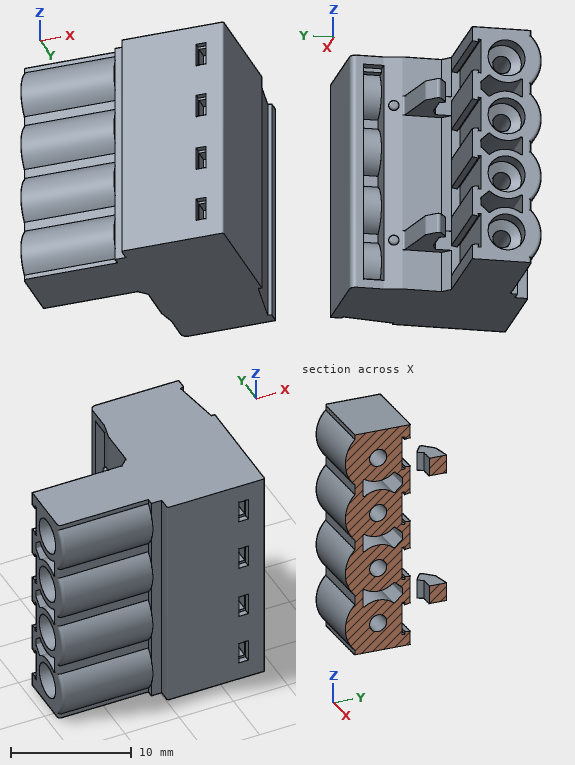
import cadquery as cq
import math


LENGTH = 18.2
WIDTH = 15.0
HEIGHT = 20.32
POLES = 4
PITCH = HEIGHT / POLES
CENTRE_Z = HEIGHT / 2
POLE_Z = [PITCH * (i + 0.5) for i in range(POLES)]

PLUG_LENGTH = 8.27
PLUG_TOP_Y = 6.7
WEB_Y = 1.69
SLEEVE_Y = 3.8
SLEEVE_RADIUS = 2.99
PLUG_EDGE_RADIUS = 0.26

BORE_RADIUS = 1.56
BORE_DEPTH = 1.46
CONTACT_RADIUS = 0.75
FUNNEL_DEPTH = 0.47

POCKET_LOW_Y = 2.44
POCKET_SHOULDER_Y = 5.26
POCKET_ARC_RADIUS = 2.15
POCKET_TIP_WIDTH = 0.6
POCKET_CORNER_RADIUS = 0.1

SLOT_FLOOR_Y = 5.97
SLOT_LIP_Y = 6.2
SLOT_WIDTH = 2.93
SLOT_LIP_WIDTH = 2.44
SLOT_MOUTH_WIDTH = 2.6

NECK_Y = 1.1
BODY_X = 9.23
WALL_X = 8.96
WALL_CHAMFER = WALL_X - PLUG_LENGTH
WALL_TOP_Y = 10.69
SLOPE_TOP_Y = 12.21
UPPER_X = 9.3
RIM_X = 17.5
RIM_Y = 14.05
REAR_NOTCH_X = 17.17
REAR_NOTCH_Y = 13.94
REAR_STEP_X = 17.88
REAR_STEP_Y = 9.57
LOWER_EDGE_RADIUS = 0.16
UPPER_EDGE_RADIUS = 0.53

LATCH_SPACING = 11.79
LATCH_WIDTH = 1.67
LATCH_ROOT_Y = 10.53
LATCH_ROOT_RADIUS = 0.18
LATCH_KNEE = (4.71, 9.65)
LATCH_KNEE_RADIUS = 0.3
LATCH_TIP = (3.75, 8.65)
LATCH_TIP_RADIUS = 0.22
LATCH_BARB = (4.88, 7.88)
LATCH_BARB_RADIUS = 0.12
LATCH_UNDERSIDE_Y = 8.41
LATCH_BARB_BACK_X = 5.18
LATCH_HEEL_X = 7.4
LATCH_HEEL_Y = 8.07
LATCH_Z = [(HEIGHT - LATCH_SPACING) / 2, (HEIGHT + LATCH_SPACING) / 2]
PEG_Y = 11.4
PEG_RADIUS = 0.43
PEG_TIP_X = 8.9
PEG_EDGE_RADIUS = 0.2

WINDOW_TOP_Y = 13.94
WINDOW_MARGIN = 0.75
WINDOW_DEPTH = 0.91
CHAMBER_MARGIN = 1.1
CHAMBER_FLOOR_X = 11.66
BARREL_RADIUS = 2.24
BARREL_X = 12.52
BARREL_SPACING_OUTER = 14.9
BARREL_Z = [
    CENTRE_Z - BARREL_SPACING_OUTER / 2,
    CENTRE_Z - PITCH / 2,
    CENTRE_Z + PITCH / 2,
    CENTRE_Z + BARREL_SPACING_OUTER / 2,
]

TEST_X = 16.24
TEST_LENGTH = 0.87
TEST_HEIGHT = 2.03
TEST_DEPTH = 0.5
TEST_CORE_LENGTH = 0.71
TEST_CORE_HEIGHT = 1.58
TEST_CORE_DEPTH = 2.03
TEST_LEDGE_LENGTH = 0.28
TEST_LEDGE_DEPTH = 1.63


def box(x0, x1, y0, y1, z0, z1):
    """Axis-aligned block between two opposite corners."""
    return cq.Workplane("XY").box(x1 - x0, y1 - y0, z1 - z0, centered=False).translate((x0, y0, z0))


def rod_x(radius, x0, x1, y, z):
    """Round bar along X."""
    return cq.Workplane("YZ", origin=(x0, y, z)).circle(radius).extrude(x1 - x0)


def make_body():
    outline = [
        (PLUG_LENGTH, NECK_Y),
        (BODY_X, NECK_Y),
        (BODY_X, 0),
        (LENGTH, 0),
        (LENGTH, REAR_STEP_Y),
        (REAR_STEP_X, REAR_STEP_Y),
        (REAR_NOTCH_X, REAR_NOTCH_Y),
        (RIM_X, RIM_Y),
        (RIM_X, WIDTH),
        (UPPER_X, WIDTH),
        (UPPER_X, SLOPE_TOP_Y),
        (WALL_X, WALL_TOP_Y),
        (WALL_X, PLUG_TOP_Y + WALL_CHAMFER),
        (PLUG_LENGTH, PLUG_TOP_Y),
    ]
    body = cq.Workplane("XY").polyline(outline).close().extrude(HEIGHT)
    body = body.edges("|Z and <Y").fillet(LOWER_EDGE_RADIUS)
    upper_corner = cq.NearestToPointSelector((UPPER_X, WIDTH, CENTRE_Z))
    return body.edges(upper_corner).fillet(UPPER_EDGE_RADIUS)


def make_plug():
    plug = box(0, PLUG_LENGTH, WEB_Y, PLUG_TOP_Y, 0, HEIGHT)
    plug = plug.edges("<X and <Y").fillet(PLUG_EDGE_RADIUS)
    for z in POLE_Z:
        sleeve = rod_x(SLEEVE_RADIUS, 0, PLUG_LENGTH, SLEEVE_Y, z)
        sleeve = sleeve.faces("<X").edges().fillet(PLUG_EDGE_RADIUS)
        plug = plug.union(sleeve)
    return plug.intersect(box(0, PLUG_LENGTH, 0, PLUG_TOP_Y, 0, HEIGHT))


def make_latch(z):
    outline = [
        (BODY_X, LATCH_ROOT_Y),
        (WALL_X, LATCH_ROOT_Y),
        LATCH_KNEE,
        LATCH_TIP,
        LATCH_BARB,
        (LATCH_BARB_BACK_X, LATCH_UNDERSIDE_Y),
        (LATCH_HEEL_X, LATCH_UNDERSIDE_Y),
        (PLUG_LENGTH, LATCH_HEEL_Y),
        (PLUG_LENGTH, PLUG_TOP_Y),
        (BODY_X, PLUG_TOP_Y),
    ]
    bottom = z - LATCH_WIDTH / 2
    latch = cq.Workplane("XY", origin=(0, 0, bottom)).polyline(outline).close().extrude(LATCH_WIDTH)
    rounded_corners = [
        (LATCH_KNEE, LATCH_KNEE_RADIUS),
        (LATCH_TIP, LATCH_TIP_RADIUS),
        (LATCH_BARB, LATCH_BARB_RADIUS),
    ]
    for (x, y), radius in rounded_corners:
        latch = latch.edges(cq.NearestToPointSelector((x, y, z))).fillet(radius)
    return latch


def make_peg(z):
    peg = rod_x(PEG_RADIUS, PEG_TIP_X, UPPER_X, PEG_Y, z)
    return peg.faces("<X").edges().fillet(PEG_EDGE_RADIUS)


def make_bore(z):
    funnel_end = BORE_DEPTH + FUNNEL_DEPTH
    half_profile = [
        (0, SLEEVE_Y),
        (0, SLEEVE_Y + BORE_RADIUS),
        (BORE_DEPTH, SLEEVE_Y + BORE_RADIUS),
        (funnel_end, SLEEVE_Y + CONTACT_RADIUS),
        (PLUG_LENGTH, SLEEVE_Y + CONTACT_RADIUS),
        (PLUG_LENGTH, SLEEVE_Y),
    ]
    profile = cq.Workplane("XY", origin=(0, 0, z)).polyline(half_profile).close()
    return profile.revolve(360, (0, SLEEVE_Y, 0), (1, SLEEVE_Y, 0))


def make_sleeve_pocket(z):
    """Waisted pocket whose long sides follow the two neighbouring sleeves."""
    half_pitch = PITCH / 2

    def half_width(y):
        return half_pitch - math.sqrt(POCKET_ARC_RADIUS**2 - (y - SLEEVE_Y) ** 2)

    low = half_width(POCKET_LOW_Y)
    waist = half_width(SLEEVE_Y)
    shoulder = half_width(POCKET_SHOULDER_Y)
    tip = POCKET_TIP_WIDTH / 2
    outline = (
        cq.Workplane("YZ", origin=(0, 0, z))
        .moveTo(POCKET_LOW_Y, -low)
        .threePointArc((SLEEVE_Y, -waist), (POCKET_SHOULDER_Y, -shoulder))
        .lineTo(SLOT_FLOOR_Y, -tip)
        .lineTo(SLOT_FLOOR_Y, tip)
        .lineTo(POCKET_SHOULDER_Y, shoulder)
        .threePointArc((SLEEVE_Y, waist), (POCKET_LOW_Y, low))
        .close()
    )
    return outline.extrude(PLUG_LENGTH).edges("|X").fillet(POCKET_CORNER_RADIUS)


def make_coding_slot(z):
    half_profile = [
        (SLOT_FLOOR_Y, SLOT_WIDTH / 2),
        (SLOT_LIP_Y, SLOT_WIDTH / 2),
        (SLOT_LIP_Y, SLOT_LIP_WIDTH / 2),
        (PLUG_TOP_Y, SLOT_MOUTH_WIDTH / 2),
    ]
    other_half = [(y, -half_width) for y, half_width in reversed(half_profile)]
    profile = cq.Workplane("YZ", origin=(0, 0, z)).polyline(half_profile + other_half).close()
    return profile.extrude(PLUG_LENGTH)


def make_screw_window():
    window_floor_x = UPPER_X + WINDOW_DEPTH
    window = box(
        UPPER_X, window_floor_x, SLOPE_TOP_Y, WINDOW_TOP_Y, WINDOW_MARGIN, HEIGHT - WINDOW_MARGIN
    )
    chamber = box(
        UPPER_X, CHAMBER_FLOOR_X, SLOPE_TOP_Y, WINDOW_TOP_Y, CHAMBER_MARGIN, HEIGHT - CHAMBER_MARGIN
    )
    for z in BARREL_Z:
        barrel = (
            cq.Workplane("XZ", origin=(BARREL_X, SLOPE_TOP_Y, z))
            .circle(BARREL_RADIUS)
            .extrude(SLOPE_TOP_Y - WINDOW_TOP_Y)
        )
        chamber = chamber.cut(barrel)
    return window.union(chamber)


def make_test_opening(z):
    """Stepped opening: wide mouth, then a narrower core with a ledge on its -X side."""

    def centred(length, height, depth):
        half_length = length / 2
        half_height = height / 2
        return box(
            TEST_X - half_length, TEST_X + half_length, 0, depth, z - half_height, z + half_height
        )

    mouth = centred(TEST_LENGTH, TEST_HEIGHT, TEST_DEPTH)
    core = centred(TEST_CORE_LENGTH, TEST_CORE_HEIGHT, TEST_CORE_DEPTH)
    core_x = TEST_X - TEST_CORE_LENGTH / 2
    ledge = box(core_x, core_x + TEST_LEDGE_LENGTH, TEST_LEDGE_DEPTH, TEST_CORE_DEPTH, 0, HEIGHT)
    return mouth.union(core.cut(ledge))


plug = make_plug()
for pole_z in POLE_Z:
    plug = plug.cut(make_bore(pole_z))
    plug = plug.cut(make_coding_slot(pole_z))
for gap in range(1, POLES):
    plug = plug.cut(make_sleeve_pocket(gap * PITCH))

body = make_body().cut(make_screw_window())
for barrel_z in BARREL_Z:
    body = body.cut(make_test_opening(barrel_z))

result = body.union(plug)
for latch_z in LATCH_Z:
    result = result.union(make_latch(latch_z))
    result = result.union(make_peg(latch_z))
    root_edge = cq.NearestToPointSelector((WALL_X, LATCH_ROOT_Y, latch_z))
    result = result.edges(root_edge).fillet(LATCH_ROOT_RADIUS)